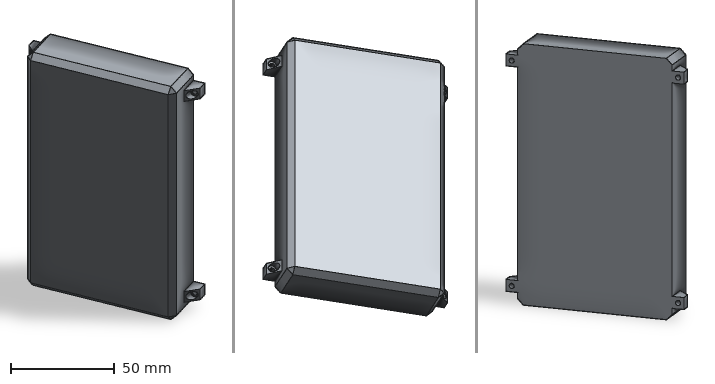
import cadquery as cq

overall_width = 91.7
depth = 22.0
height = 131.0
bevel = 3.0

lug_reach = 6.0
lug_height = 6.0
lug_tip_depth = 5.2
lug_root_depth = 10.9
lug_end_distance = 9.0
lug_overlap = 1.3

screw_diameter = 2.5
head_diameter = 4.5
head_seat_thickness = 5.0

body_width = overall_width - 2 * lug_reach
body_side = body_width / 2
back = depth / 2
lug_tip = body_side + lug_reach
lug_z = height / 2 - lug_end_distance
screw_x = body_side + lug_reach / 2


def make_body():
    """Box with bevelled front edges and bevelled corners along Y."""
    box = cq.Workplane("XY").box(body_width, depth, height)
    return box.edges("|Y or <Y").chamfer(bevel)


def make_right_lug():
    """Sloped lug on the +X side, centred on Z = 0."""
    root = body_side - lug_overlap
    lug = (
        cq.Workplane("XY")
        .moveTo(root, back)
        .lineTo(lug_tip, back)
        .lineTo(lug_tip, back - lug_tip_depth)
        .lineTo(body_side, back - lug_root_depth)
        .lineTo(root, back - lug_root_depth)
        .close()
        .extrude(lug_height / 2, both=True)
    )
    screw_hole = (
        cq.Workplane("XZ", origin=(screw_x, back, 0))
        .circle(screw_diameter / 2)
        .extrude(lug_root_depth)
    )
    head_recess = (
        cq.Workplane("XZ", origin=(screw_x, back - head_seat_thickness, 0))
        .circle(head_diameter / 2)
        .extrude(lug_root_depth)
    )
    return lug.cut(screw_hole).cut(head_recess)


right_lug = make_right_lug()
left_lug = right_lug.mirror("YZ")

result = make_body()
for lug in (left_lug, right_lug):
    for z in (-lug_z, lug_z):
        result = result.union(lug.translate((0, 0, z)))